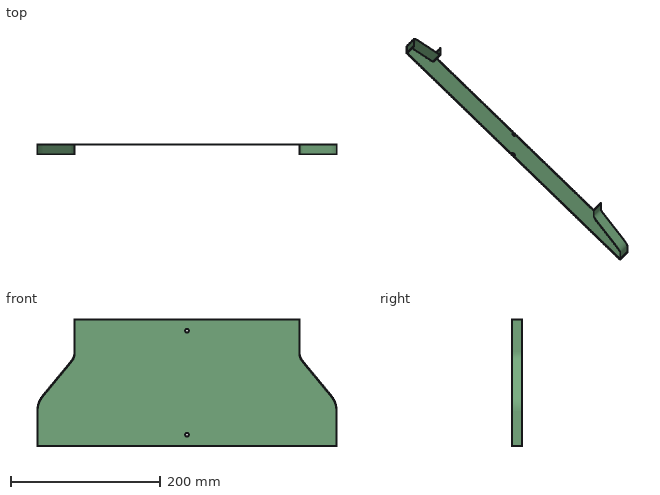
import cadquery as cq
import math

width = 402.0
depth = 14.0
height = 170.0
sheet = 0.85

top_width = 302.5
shoulder_low_z = 58.5
shoulder_high_z = 119.0
low_radius = 32.0
high_radius = 19.3

hole_diameter = 5.0
hole_edge_distance = 15.3

slope_run = (width - top_width) / 2
slope_angle = math.atan2(slope_run, shoulder_high_z - shoulder_low_z)


def profile_prism(inset, length):
    """Prism from y = 0 toward -Y, with its side walls moved inward by inset."""
    base_x = width / 2 - inset
    top_x = top_width / 2 - inset
    drop = inset * math.tan(slope_angle / 2)
    low_z = shoulder_low_z - drop
    high_z = shoulder_high_z - drop
    prism = (
        cq.Workplane("XZ")
        .polyline([
            (-base_x, 0), (base_x, 0), (base_x, low_z), (top_x, high_z),
            (top_x, height), (-top_x, height), (-top_x, high_z), (-base_x, low_z),
        ])
        .close()
        .extrude(length)
    )
    for x, z, radius in (
        (base_x, low_z, low_radius - inset),
        (top_x, high_z, high_radius + inset),
    ):
        for side in (-1, 1):
            corner = cq.selectors.NearestToPointSelector((side * x, -length / 2, z))
            prism = prism.edges("|Y").edges(corner).fillet(radius)
    return prism


flange_height = depth - sheet
interior = profile_prism(sheet, flange_height).translate((0, -sheet, 0))
body = profile_prism(0, depth).cut(interior)

holes = (
    cq.Workplane("XZ")
    .pushPoints([(0, hole_edge_distance), (0, height - hole_edge_distance)])
    .circle(hole_diameter / 2)
    .extrude(depth)
)
result = body.cut(holes)